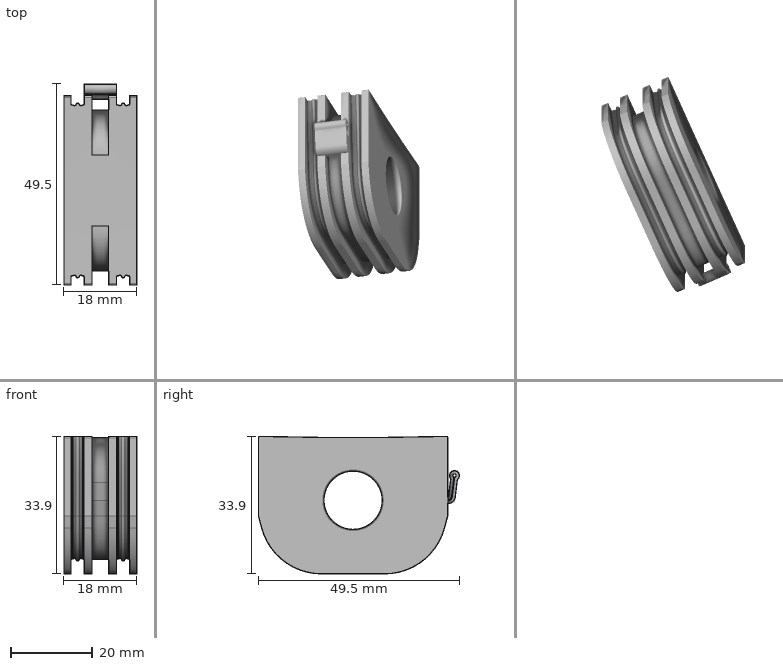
import cadquery as cq
import math

BODY_WIDTH = 18.0
BODY_HALF_LENGTH = 23.32
OVERALL_LENGTH = 49.5
TOP_Z = 15.76
BOTTOM_Z = -18.13
TOP_DIP = 0.3
TOP_CORNER_RADIUS = 0.4
FLANK_BREAK_Z = -3.85
FLANK_TILT = math.radians(15)
LOWER_CORNER_RADIUS = 15.28

BORE_RADIUS = 7.15
BORE_ROUND = 0.3

SLOT_WIDTH = 4.06
SLOT_END_DEPTH = 3.47
SLOT_BOTTOM_DEPTH = 3.5
CORE_UPPER_RADIUS = 11.1
CORE_FLANK_TOP_Z = 4.35
CORE_FLANK_BREAK_Z = -0.1

GROOVE_INNER_X = 4.0
GROOVE_OUTER_X = 7.2
GROOVE_TOP_DEPTH = 2.1
GROOVE_BOTTOM_DEPTH = 3.5
RIDGE_HEIGHT = 0.3
RIDGE_HALF_WIDTH = 0.4
RIDGE_FOOT_DEPTH = 0.05
VALLEY_OFFSET = 0.78
VALLEY_DEPTH = 0.32
LEDGE_INNER_OFFSET = 1.15
LEDGE_OUTER_OFFSET = 1.4
LEDGE_DEPTH = 0.16

CLIP_WIDTH = 8.0
CLIP_END_Y = 22.4
CLIP_STRIP_THICKNESS = 0.8
CLIP_GAP = 0.1
CLIP_TILT = math.radians(7)
CLIP_BEND_RADIUS = 1.0
CLIP_LOOP_RADIUS = 1.22
CLIP_EYE_RADIUS = 0.37
CLIP_NECK_BLEND = 0.8
CLIP_EYE_BLEND = 0.4
CLIP_LOOP_Y = OVERALL_LENGTH - BODY_HALF_LENGTH - CLIP_LOOP_RADIUS
CLIP_LOOP_Z = 6.08

OVERCUT = 4.0
NECK_SEARCH_MARGIN = 0.05

CORNER_Z = BOTTOM_Z + LOWER_CORNER_RADIUS
FLANK_DROP = FLANK_BREAK_Z - CORNER_Z
CORNER_Y = (
    BODY_HALF_LENGTH
    - FLANK_DROP * math.tan(FLANK_TILT)
    - LOWER_CORNER_RADIUS / math.cos(FLANK_TILT)
)


def corner_point(radius, angle):
    """Point on a lower corner arc; angle is measured below the +Y direction."""
    return (CORNER_Y + radius * math.cos(angle), CORNER_Z - radius * math.sin(angle))


def mirrored(point):
    return (-point[0], point[1])


def tangent_tilt(point, radius):
    """Tilt from vertical of the line through point that touches a lower corner arc."""
    dy = point[0] - CORNER_Y
    dz = point[1] - CORNER_Z
    return math.acos(radius / math.hypot(dy, dz)) - math.atan2(dz, dy)


def add_lower_outline(sketch, radius, tilt):
    """Go from the +Y flank round the bottom to the -Y flank: line, arc, line, arc."""
    half_angle = (tilt + math.pi / 2) / 2
    start = corner_point(radius, tilt)
    middle = corner_point(radius, half_angle)
    end = corner_point(radius, math.pi / 2)
    return (
        sketch.lineTo(*start)
        .threePointArc(middle, end)
        .lineTo(*mirrored(end))
        .threePointArc(mirrored(middle), mirrored(start))
    )


def make_block():
    outline = cq.Workplane("YZ").moveTo(BODY_HALF_LENGTH, TOP_Z)
    outline = outline.lineTo(BODY_HALF_LENGTH, FLANK_BREAK_Z)
    outline = add_lower_outline(outline, LOWER_CORNER_RADIUS, FLANK_TILT)
    outline = (
        outline.lineTo(-BODY_HALF_LENGTH, FLANK_BREAK_Z)
        .lineTo(-BODY_HALF_LENGTH, TOP_Z)
        .threePointArc((0, TOP_Z - TOP_DIP), (BODY_HALF_LENGTH, TOP_Z))
        .close()
    )
    block = outline.extrude(BODY_WIDTH / 2, both=True)
    top_corners = cq.selectors.BoxSelector(
        (-BODY_WIDTH, -2 * BODY_HALF_LENGTH, TOP_Z - TOP_DIP / 2),
        (BODY_WIDTH, 2 * BODY_HALF_LENGTH, TOP_Z + TOP_DIP),
    )
    return block.edges("|X").edges(top_corners).fillet(TOP_CORNER_RADIUS)


def make_slot():
    """Everything in the middle slot that lies outside the core."""
    core_y = BODY_HALF_LENGTH - SLOT_END_DEPTH
    core_radius = LOWER_CORNER_RADIUS - SLOT_BOTTOM_DEPTH
    arc_y = core_y - CORE_UPPER_RADIUS
    arc_top_z = CORE_FLANK_TOP_Z + CORE_UPPER_RADIUS
    diagonal = CORE_UPPER_RADIUS * math.sqrt(0.5)
    arc_middle = (arc_y + diagonal, CORE_FLANK_TOP_Z + diagonal)
    flank_break = (core_y, CORE_FLANK_BREAK_Z)

    core = (
        cq.Workplane("YZ")
        .moveTo(-arc_y, TOP_Z + OVERCUT)
        .lineTo(arc_y, TOP_Z + OVERCUT)
        .lineTo(arc_y, arc_top_z)
        .threePointArc(arc_middle, (core_y, CORE_FLANK_TOP_Z))
        .lineTo(*flank_break)
    )
    core = add_lower_outline(core, core_radius, tangent_tilt(flank_break, core_radius))
    core = (
        core.lineTo(*mirrored(flank_break))
        .lineTo(-core_y, CORE_FLANK_TOP_Z)
        .threePointArc(mirrored(arc_middle), (-arc_y, arc_top_z))
        .close()
        .extrude(SLOT_WIDTH / 2, both=True)
    )
    surround = cq.Workplane("XY").box(SLOT_WIDTH, 3 * BODY_HALF_LENGTH, 3 * BODY_HALF_LENGTH)
    return surround.cut(core)


def make_groove(center_x):
    """Wavy groove profile swept down one end, under the block and up the other end."""
    radius = LOWER_CORNER_RADIUS - GROOVE_BOTTOM_DEPTH
    top_point = (BODY_HALF_LENGTH - GROOVE_TOP_DEPTH, TOP_Z)
    tilt = tangent_tilt(top_point, radius)
    start = (top_point[0] + OVERCUT * math.tan(tilt), TOP_Z + OVERCUT)
    path = cq.Workplane("YZ", origin=(center_x, 0, 0)).moveTo(*start)
    path = add_lower_outline(path, radius, tilt).lineTo(*mirrored(start))

    half_width = (GROOVE_OUTER_X - GROOVE_INNER_X) / 2
    profile_plane = cq.Plane(
        origin=(center_x, start[0], start[1]),
        xDir=(1, 0, 0),
        normal=(0, math.sin(tilt), math.cos(tilt)),
    )
    profile = (
        cq.Workplane(profile_plane)
        .moveTo(-half_width, 2 * OVERCUT)
        .lineTo(-half_width, 0)
        .lineTo(-LEDGE_OUTER_OFFSET, -LEDGE_DEPTH)
        .lineTo(-LEDGE_INNER_OFFSET, -LEDGE_DEPTH)
        .threePointArc((-VALLEY_OFFSET, -VALLEY_DEPTH), (-RIDGE_HALF_WIDTH, -RIDGE_FOOT_DEPTH))
        .threePointArc((0, RIDGE_HEIGHT), (RIDGE_HALF_WIDTH, -RIDGE_FOOT_DEPTH))
        .threePointArc((VALLEY_OFFSET, -VALLEY_DEPTH), (LEDGE_INNER_OFFSET, -LEDGE_DEPTH))
        .lineTo(LEDGE_OUTER_OFFSET, -LEDGE_DEPTH)
        .lineTo(half_width, 0)
        .lineTo(half_width, 2 * OVERCUT)
        .close()
    )
    return profile.sweep(path)


def make_bore():
    """Bore whose mouth flares in a quarter round at both ends."""
    half_width = BODY_WIDTH / 2
    mouth_radius = BORE_RADIUS + BORE_ROUND
    round_start = half_width - BORE_ROUND
    quarter_rise = BORE_ROUND * (1 - math.sqrt(0.5))
    quarter_run = BORE_ROUND * math.sqrt(0.5)
    return (
        cq.Workplane("XY")
        .moveTo(-half_width, 0)
        .lineTo(-half_width, mouth_radius)
        .threePointArc(
            (-round_start - quarter_run, BORE_RADIUS + quarter_rise), (-round_start, BORE_RADIUS)
        )
        .lineTo(round_start, BORE_RADIUS)
        .threePointArc(
            (round_start + quarter_run, BORE_RADIUS + quarter_rise), (half_width, mouth_radius)
        )
        .lineTo(half_width, 0)
        .close()
        .revolve(360, (0, 0, 0), (1, 0, 0))
    )


def clip_band(half_thickness):
    """Band centred on the fold line of the clip: level tail, bend, leaning leg."""
    leg_normal = (math.cos(CLIP_TILT), math.sin(CLIP_TILT))
    bend_z = CLIP_BEND_RADIUS
    loop_to_bend = CLIP_LOOP_Z - bend_z
    bend_y = (
        CLIP_LOOP_Y
        - loop_to_bend * math.tan(CLIP_TILT)
        - CLIP_BEND_RADIUS / math.cos(CLIP_TILT)
    )
    leg_angle = -CLIP_TILT
    middle_angle = (leg_angle - math.pi / 2) / 2

    def bend_point(radius, angle):
        return (bend_y + radius * math.cos(angle), bend_z + radius * math.sin(angle))

    def loop_side(offset):
        return (CLIP_LOOP_Y + offset * leg_normal[0], CLIP_LOOP_Z - offset * leg_normal[1])

    outer = CLIP_BEND_RADIUS + half_thickness
    inner = CLIP_BEND_RADIUS - half_thickness
    return (
        cq.Workplane("YZ")
        .moveTo(CLIP_END_Y, -half_thickness)
        .lineTo(*bend_point(outer, -math.pi / 2))
        .threePointArc(bend_point(outer, middle_angle), bend_point(outer, leg_angle))
        .lineTo(*loop_side(half_thickness))
        .lineTo(*loop_side(-half_thickness))
        .lineTo(*bend_point(inner, leg_angle))
        .threePointArc(bend_point(inner, middle_angle), bend_point(inner, -math.pi / 2))
        .lineTo(CLIP_END_Y, half_thickness)
        .close()
        .extrude(CLIP_WIDTH / 2, both=True)
    )


def clip_section(band_half_thickness, loop_radius, blend_radius):
    """Band joined to a round loop at its upper end, with the two inner corners blended."""
    loop = (
        cq.Workplane("YZ")
        .center(CLIP_LOOP_Y, CLIP_LOOP_Z)
        .circle(loop_radius)
        .extrude(CLIP_WIDTH / 2, both=True)
    )
    neck_distance = math.sqrt(loop_radius**2 - band_half_thickness**2)
    neck_z = CLIP_LOOP_Z - neck_distance * math.cos(CLIP_TILT)
    reach = band_half_thickness * math.sin(CLIP_TILT) + NECK_SEARCH_MARGIN
    neck_corners = cq.selectors.BoxSelector(
        (-CLIP_WIDTH, CLIP_LOOP_Y - 2 * loop_radius, neck_z - reach),
        (CLIP_WIDTH, CLIP_LOOP_Y + 2 * loop_radius, neck_z + reach),
    )
    section = clip_band(band_half_thickness).union(loop)
    return section.edges("|X").edges(neck_corners).fillet(blend_radius)


def make_clip():
    folded = clip_section(CLIP_STRIP_THICKNESS + CLIP_GAP / 2, CLIP_LOOP_RADIUS, CLIP_NECK_BLEND)
    inside = clip_section(CLIP_GAP / 2, CLIP_EYE_RADIUS, CLIP_EYE_BLEND)
    return folded.cut(inside)


result = make_block().cut(make_slot())
groove_center_x = (GROOVE_INNER_X + GROOVE_OUTER_X) / 2
for groove_x in (-groove_center_x, groove_center_x):
    result = result.cut(make_groove(groove_x))
result = result.cut(make_bore()).union(make_clip())